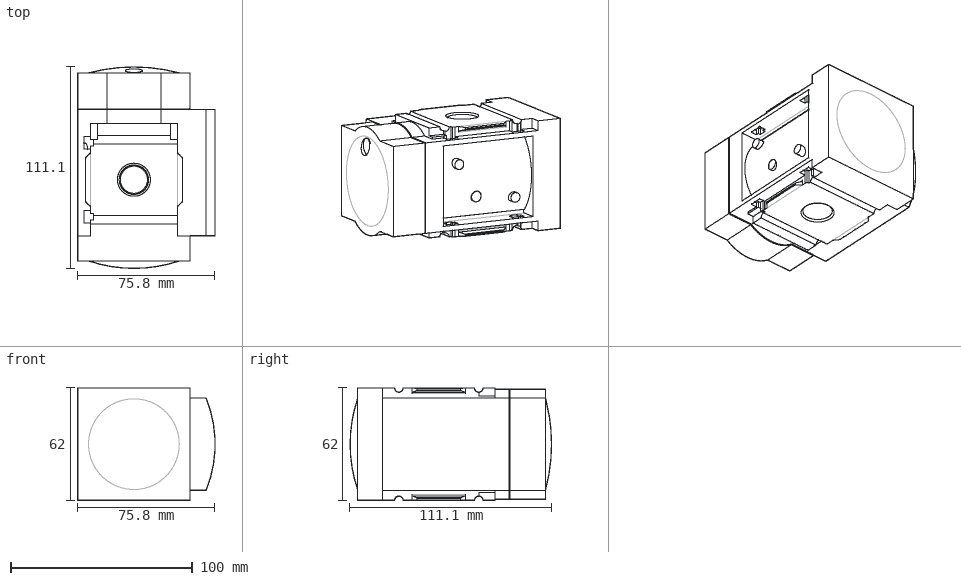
import cadquery as cq

body_size = 62.0
half_body = body_size / 2
front_face_y = -44.8
back_face_y = 58.9
waist_half_height = 25.5
plate_half_width = 24.0

saddle_half_width = 14.8
saddle_height = 30.4
cap_joint_y = 38.8
cap_joint_width = 0.3
cap_joint_depth = 0.4

dome_radius = 25.0
front_dome_height = 4.1
total_length = 111.08
back_dome_height = total_length - front_dome_height - (back_face_y - front_face_y)
gauge_hole_diameter = 9.4
gauge_hole_z = 19.5

cover_shoulder_x = 39.8
cover_crest_x = 44.8

port_diameter = 16.2
port_floor_diameter = 15.0
port_mouth_diameter = 18.2
port_chamfer_depth = 1.0
port_depth = 15.0

groove_radius = 2.3
groove_y = 22.0
notch_width = 3.9
notch_front_y = 22.2
notch_floor_z = 26.6

tab_base_half_length = 14.8
tab_projection = 2.8
tab_crest_top_z = 30.65
tab_crest_bottom_z = 29.9
tab_heel_z = 29.4
tab_root_z = 28.5
tab_foot_z = 27.8
tab_heel_projection = 2.5
tab_root_projection = 0.2

slot_y = 20.4
slot_wide_length = 7.0
slot_narrow_length = 3.8
slot_outer_x = -27.6
slot_step_x = -23.9
slot_inner_x = -22.4

window_back_y = 27.8
window_front_y = -28.0
window_half_height = 22.7
drum_radius = 29.0
drum_half_height = 20.6
pin_diameter = 5.5
pin_positions = [(17.4, 10.9), (-17.5, -11.0)]
pad_diameter = 6.0
pad_y = 5.9
pad_z = -8.5
pad_face_x = -28.3
pin_face_x = -30.0
pin_root_x = -20.0


def box(x0, x1, y0, y1, z0, z1):
    """Box given by its limits along each axis."""
    return cq.Workplane("XY").box(x1 - x0, y1 - y0, z1 - z0, centered=False).translate((x0, y0, z0))


def y_prism(outline, y0, y1):
    """Prism with a closed XZ outline, reaching from y0 to y1."""
    return outline.extrude(y1 - y0).translate((0, y1, 0))


def x_cylinder(diameter, y, z, x0, x1):
    return cq.Workplane("YZ").center(y, z).circle(diameter / 2).extrude(x1 - x0).translate((x0, 0, 0))


def on_top_and_bottom(feature):
    """The feature together with its mirror image below the XY plane."""
    return feature.union(feature.mirror("XY"))


def make_body():
    front_block = box(-half_body, half_body, front_face_y, -half_body, -half_body, half_body)
    waist = box(-half_body, half_body, -half_body, back_face_y, -waist_half_height, waist_half_height)
    plates = box(-plate_half_width, plate_half_width, -half_body, half_body, -half_body, half_body)
    return front_block.union(waist).union(plates)


def make_crowns(shoulder_z, crest_z, y0, y1):
    """Rounded crowns on top and bottom of the rear section, from y0 to y1."""
    outline = (
        cq.Workplane("XZ")
        .moveTo(-saddle_half_width, 0)
        .lineTo(-saddle_half_width, shoulder_z)
        .threePointArc((0, crest_z), (saddle_half_width, shoulder_z))
        .lineTo(saddle_half_width, 0)
        .close()
    )
    return on_top_and_bottom(y_prism(outline, y0, y1))


def make_saddle():
    return make_crowns(waist_half_height, saddle_height, half_body, back_face_y)


def make_cap_joint():
    """Thin groove around the rear section, following its crowned outline."""
    y1 = cap_joint_y + cap_joint_width
    inner_x = half_body - cap_joint_depth
    inner_z = waist_half_height - cap_joint_depth
    ring = box(-half_body, half_body, cap_joint_y, y1, -half_body, half_body)
    core = box(-inner_x, inner_x, cap_joint_y, y1, -inner_z, inner_z)
    crown = make_crowns(inner_z, saddle_height - cap_joint_depth, cap_joint_y, y1)
    return ring.cut(core).cut(crown)


def make_cover():
    outline = (
        cq.Workplane("XZ")
        .moveTo(plate_half_width, -waist_half_height)
        .lineTo(cover_shoulder_x, -waist_half_height)
        .threePointArc((cover_crest_x, 0), (cover_shoulder_x, waist_half_height))
        .lineTo(plate_half_width, waist_half_height)
        .close()
    )
    return y_prism(outline, -half_body, cap_joint_y)


def make_dome(face_y, height):
    """Shallow spherical cap on an end face; a negative height bulges toward -Y."""
    sphere_radius = (dome_radius**2 + height**2) / (2 * abs(height))
    middle_x = dome_radius / 2
    middle_drop = sphere_radius - (sphere_radius**2 - middle_x**2) ** 0.5
    direction = 1 if height > 0 else -1
    apex_y = face_y + height
    return (
        cq.Workplane("XY")
        .moveTo(0, face_y)
        .lineTo(dome_radius, face_y)
        .threePointArc((middle_x, apex_y - direction * middle_drop), (0, apex_y))
        .close()
        .revolve(360, (0, 0, 0), (0, 1, 0))
    )


def make_gauge_hole():
    """Round pocket in the rear dome, as deep as the dome is high."""
    outline = cq.Workplane("XZ").center(0, gauge_hole_z).circle(gauge_hole_diameter / 2)
    return y_prism(outline, back_face_y, back_face_y + back_dome_height)


def make_ports():
    profile = (
        cq.Workplane("XZ")
        .moveTo(0, half_body)
        .lineTo(port_mouth_diameter / 2, half_body)
        .lineTo(port_diameter / 2, half_body - port_chamfer_depth)
        .lineTo(port_floor_diameter / 2, half_body - port_depth)
        .lineTo(0, half_body - port_depth)
        .close()
    )
    return on_top_and_bottom(profile.revolve(360, (0, 0, 0), (0, 1, 0)))


def make_grooves():
    """Round cross grooves over both plates, in front of and behind the ports."""
    grooves = cq.Workplane("XY")
    for y in (groove_y, -groove_y):
        groove = x_cylinder(2 * groove_radius, y, half_body, -plate_half_width, plate_half_width)
        grooves = grooves.add(groove)
    return on_top_and_bottom(grooves.combine())


def make_corner_notches():
    inner_x = plate_half_width - notch_width
    right = box(inner_x, plate_half_width, notch_front_y, half_body, notch_floor_z, half_body)
    return on_top_and_bottom(right.union(right.mirror("YZ")))


def make_tabs():
    """Wedge tabs on both flanks of each plate, with ends bevelled at 45 degrees."""
    root_x = -plate_half_width
    crest_x = root_x - tab_projection
    crest_half_length = tab_base_half_length - tab_projection
    section = (
        cq.Workplane("XZ")
        .moveTo(root_x, half_body)
        .lineTo(crest_x, tab_crest_top_z)
        .lineTo(crest_x, tab_crest_bottom_z)
        .lineTo(root_x - tab_heel_projection, tab_heel_z)
        .lineTo(root_x - tab_root_projection, tab_root_z)
        .lineTo(root_x, tab_foot_z)
        .close()
    )
    wedge = y_prism(section, -tab_base_half_length, tab_base_half_length)
    plan = (
        cq.Workplane("XY")
        .moveTo(root_x, -tab_base_half_length)
        .lineTo(crest_x, -crest_half_length)
        .lineTo(crest_x, crest_half_length)
        .lineTo(root_x, tab_base_half_length)
        .close()
        .extrude(half_body)
    )
    tab = wedge.intersect(plan)
    return on_top_and_bottom(tab.union(tab.mirror("YZ")))


def make_ledge_slots():
    """T slots that run from the plate flank through the -X ledges into the window."""
    slots = cq.Workplane("XY")
    wide = slot_wide_length / 2
    narrow = slot_narrow_length / 2
    for y in (slot_y, -slot_y):
        head = box(slot_outer_x, slot_step_x, y - wide, y + wide, window_half_height, half_body)
        stem = box(slot_step_x, slot_inner_x, y - narrow, y + narrow, window_half_height, half_body)
        slots = slots.add(head.union(stem))
    return on_top_and_bottom(slots.combine())


def make_window():
    """Window on -X around the drum, with round grooves along its upper and lower edges."""
    groove_diameter = window_half_height - drum_half_height
    groove_z = drum_half_height + groove_diameter / 2
    drum_edge_x = -((drum_radius**2 - drum_half_height**2) ** 0.5)
    opening = box(
        -half_body, drum_edge_x, window_front_y, window_back_y, -window_half_height, window_half_height
    )
    drum = y_prism(cq.Workplane("XZ").circle(drum_radius), window_front_y, window_back_y)
    groove_outline = cq.Workplane("XZ").center(drum_edge_x, groove_z).circle(groove_diameter / 2)
    groove = y_prism(groove_outline, window_front_y, window_back_y)
    return opening.cut(drum).union(on_top_and_bottom(groove))


def add_window_pins(solid):
    """Two pins standing out of the drum and one flat round pad set into it."""
    for y, z in pin_positions:
        solid = solid.union(x_cylinder(pin_diameter, y, z, pin_face_x, pin_root_x))
    solid = solid.cut(x_cylinder(pad_diameter, pad_y, pad_z, -half_body, pad_face_x))
    return solid.union(x_cylinder(pad_diameter, pad_y, pad_z, pad_face_x, pin_root_x))


result = make_body().union(make_saddle()).union(make_cover())
result = result.cut(make_cap_joint())
result = result.union(make_dome(front_face_y, -front_dome_height))
result = result.union(make_dome(back_face_y, back_dome_height)).cut(make_gauge_hole())
result = result.cut(make_ports()).cut(make_grooves()).cut(make_corner_notches())
result = result.union(make_tabs()).cut(make_window()).cut(make_ledge_slots())
result = add_window_pins(result)